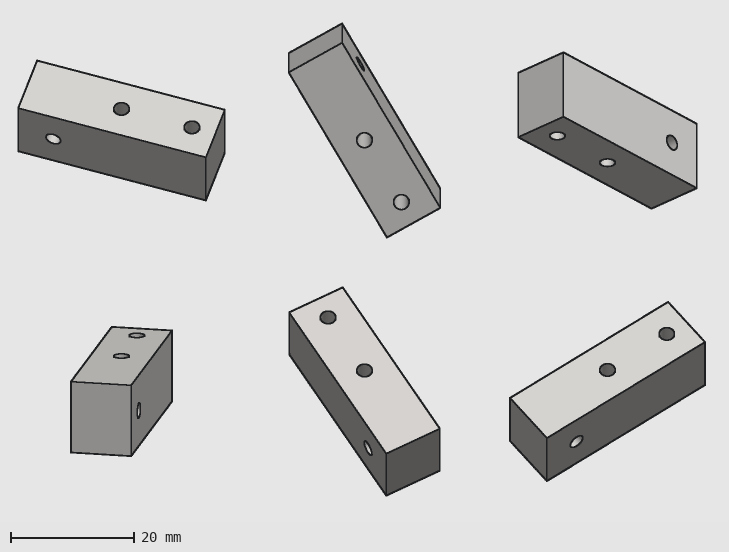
import cadquery as cq

length = 32.0
width = 10.0
height = 12.0

hole_diameter = 2.5
cross_hole_from_left_end = 6.0
end_hole_from_right_end = 4.0

cross_hole_x = cross_hole_from_left_end - length / 2
vertical_hole_xs = (0, length / 2 - end_hole_from_right_end)


def make_block():
    """Rectangular block centred on the origin."""
    return cq.Workplane("XY").box(length, width, height)


def drill_cross_hole(body):
    """Hole along Y, at mid height near the -X end."""
    return body.faces("<Y").workplane(origin=(0, 0, 0)).center(cross_hole_x, 0).hole(hole_diameter)


def drill_vertical_holes(body):
    """Holes along Z, on the centreline of the top face."""
    points = [(x, 0) for x in vertical_hole_xs]
    return body.faces(">Z").workplane(origin=(0, 0, 0)).pushPoints(points).hole(hole_diameter)


result = drill_vertical_holes(drill_cross_hole(make_block()))